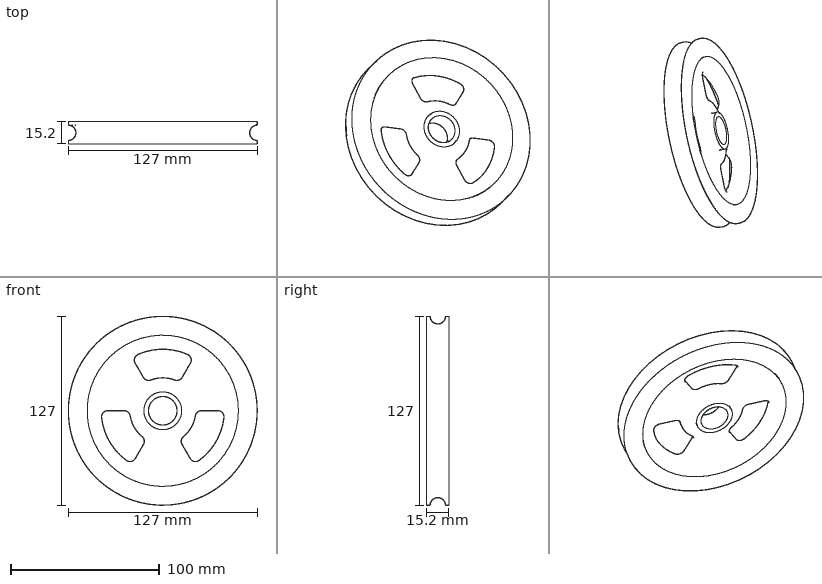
import cadquery as cq
import math

wheel_diameter = 127.0
width = 15.2
groove_radius = 5.1
rim_edge_radius = 0.6

recess_diameter = 101.6
web_thickness = 4.5
recess_corner_radius = 3.2

hub_diameter = 25.4
bore_diameter = 19.0
hub_corner_radius = 1.5

window_count = 3
window_angle = 60.0
window_inner_radius = 22.2
window_outer_radius = 41.3
window_corner_radius = 4.1
window_edge_radius = 0.6


def disc(diameter, thickness):
    """Disc about the Y axis, centred on the mid plane."""
    return cq.Workplane("XZ").circle(diameter / 2).extrude(thickness / 2, both=True)


def polar(radius, angle):
    """Point in the XZ plane at an angle in degrees from +X."""
    return (
        radius * math.cos(math.radians(angle)),
        radius * math.sin(math.radians(angle)),
    )


def rim():
    """Ring with a half-round rope groove and rounded outer edges."""
    ring = disc(wheel_diameter, width).cut(disc(recess_diameter, width))
    groove = (
        cq.Workplane("XY")
        .center(wheel_diameter / 2, 0)
        .circle(groove_radius)
        .revolve(360, (-wheel_diameter / 2, 0), (-wheel_diameter / 2, 1))
    )
    outer_edges = cq.selectors.RadiusNthSelector(-1)
    return ring.cut(groove).edges(outer_edges).fillet(rim_edge_radius)


def corner_fillet(radius, size, direction):
    """Concave ring on both web faces; direction is -1 inside the recess, +1 around the hub."""
    face = web_thickness / 2
    diagonal = size * (1 - math.sqrt(0.5))
    upper = (
        cq.Workplane("XY")
        .moveTo(radius, face)
        .lineTo(radius + direction * size, face)
        .threePointArc(
            (radius + direction * diagonal, face + diagonal),
            (radius, face + size),
        )
        .close()
        .revolve(360, (0, 0), (0, 1))
    )
    return upper.union(upper.mirror("XZ"))


def window(mid_angle):
    """Cutter for one window, centred on mid_angle."""
    start = mid_angle - window_angle / 2
    end = mid_angle + window_angle / 2
    return (
        cq.Workplane("XZ")
        .moveTo(*polar(window_inner_radius, start))
        .lineTo(*polar(window_outer_radius, start))
        .threePointArc(polar(window_outer_radius, mid_angle), polar(window_outer_radius, end))
        .lineTo(*polar(window_inner_radius, end))
        .threePointArc(polar(window_inner_radius, mid_angle), polar(window_inner_radius, start))
        .close()
        .extrude(web_thickness, both=True)
        .edges("|Y")
        .fillet(window_corner_radius)
    )


def web():
    """Web plate with rounded window edges on both faces."""
    plate = disc(recess_diameter, web_thickness)
    for index in range(window_count):
        plate = plate.cut(window(90 + index * 360 / window_count))
    for side in ("<Y", ">Y"):
        outlines = plate.faces(side).wires().vals()
        window_edges = [
            edge
            for wire in outlines
            if wire.BoundingBox().xlen < recess_diameter / 2
            for edge in wire.Edges()
        ]
        plate = plate.newObject(window_edges).fillet(window_edge_radius)
    return plate


result = (
    web()
    .union(rim())
    .union(disc(hub_diameter, width))
    .union(corner_fillet(recess_diameter / 2, recess_corner_radius, -1))
    .union(corner_fillet(hub_diameter / 2, hub_corner_radius, 1))
    .cut(disc(bore_diameter, width))
)